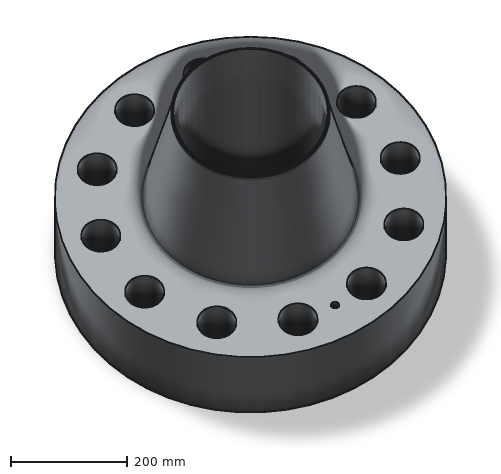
import cadquery as cq
import math

flange_diameter = 673.0
flange_thickness = 166.0
flange_radius = flange_diameter / 2

total_height = 419.0
hub_base_radius = 187.0
neck_radius = 136.5
bore_radius = 132.5
base_fillet_radius = 3.5

weld_end_height = 8.0
weld_bevel = 2.0

bolt_count = 12
bolt_circle_radius = 270.0
bolt_hole_diameter = 67.0

jack_hole_diameter = 14.0
jack_hole_depth = 33.5
drill_point_angle = 118.0


def make_body():
    """Revolve the flange plate, tapered hub and straight weld end around Z."""
    hub_top = total_height - weld_end_height
    profile = (
        cq.Workplane("XZ")
        .moveTo(bore_radius, 0)
        .lineTo(flange_radius, 0)
        .lineTo(flange_radius, flange_thickness)
        .lineTo(hub_base_radius, flange_thickness)
        .lineTo(neck_radius, hub_top)
        .lineTo(neck_radius, total_height - weld_bevel)
        .lineTo(neck_radius - weld_bevel, total_height)
        .lineTo(bore_radius, total_height)
        .close()
    )
    return profile.revolve(360, (0, 0, 0), (0, 1, 0))


def make_bolt_holes():
    """Cutters for the evenly spaced through holes, the first one on the X axis."""
    return (
        cq.Workplane("XY")
        .polarArray(bolt_circle_radius, 0, 360, bolt_count)
        .circle(bolt_hole_diameter / 2)
        .extrude(flange_thickness)
    )


def make_jack_hole():
    """Blind hole with a conical drill point, half a bolt pitch from the X axis."""
    radius = jack_hole_diameter / 2
    point_depth = radius / math.tan(math.radians(drill_point_angle / 2))
    half_pitch = 180 / bolt_count
    hole = (
        cq.Workplane("XZ")
        .moveTo(0, 0)
        .lineTo(radius, 0)
        .lineTo(radius, -jack_hole_depth)
        .lineTo(0, -jack_hole_depth - point_depth)
        .close()
        .revolve(360, (0, 0, 0), (0, 1, 0))
    )
    hole = hole.translate((bolt_circle_radius, 0, flange_thickness))
    return hole.rotate((0, 0, 0), (0, 0, 1), half_pitch)


def round_hub_base(body):
    """Fillet the hub foot, the second largest circle after the flange rim."""
    hub_foot = cq.selectors.RadiusNthSelector(-2)
    return body.edges("%CIRCLE").edges(hub_foot).fillet(base_fillet_radius)


body = round_hub_base(make_body())
result = body.cut(make_bolt_holes()).cut(make_jack_hole())